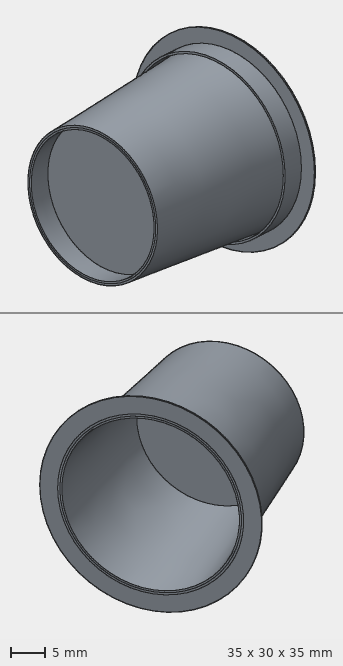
import cadquery as cq

total_length = 30.0
wall = 0.35

flange_radius = 17.5
flange_thickness = 0.28
collar_radius = 15.0
collar_length = 4.0
collar_bore_radius = collar_radius - wall

shell_back_radius = collar_bore_radius
shell_front_radius = 12.5

liner_wall = 0.3
floor_recess = 4.13
floor_thickness = liner_wall
liner_back_radius = shell_back_radius - wall
liner_front_radius = shell_front_radius - wall
bore_back_radius = liner_back_radius - liner_wall
bore_front_radius = liner_front_radius - liner_wall
taper_slope = (shell_back_radius - shell_front_radius) / total_length


def revolve_profile(points):
    """Revolve an outline of (radius, Y) points about the Y axis."""
    return cq.Workplane("XY").polyline(points).close().revolve(360, (0, 0), (0, 1))


def make_collar():
    return revolve_profile([
        (collar_bore_radius, 0),
        (flange_radius, 0),
        (flange_radius, -flange_thickness),
        (collar_radius, -flange_thickness),
        (collar_radius, -collar_length),
        (collar_bore_radius, -collar_length),
    ])


def make_shell():
    return revolve_profile([
        (liner_back_radius, 0),
        (shell_back_radius, 0),
        (shell_front_radius, -total_length),
        (liner_front_radius, -total_length),
    ])


def make_liner():
    """Tapered wall with a flat floor across its bore."""
    floor_front_y = floor_recess - total_length
    floor_back_y = floor_front_y + floor_thickness
    floor_front_radius = bore_front_radius + taper_slope * floor_recess
    floor_back_radius = floor_front_radius + taper_slope * floor_thickness
    return revolve_profile([
        (0, floor_back_y),
        (floor_back_radius, floor_back_y),
        (bore_back_radius, 0),
        (liner_back_radius, 0),
        (liner_front_radius, -total_length),
        (bore_front_radius, -total_length),
        (floor_front_radius, floor_front_y),
        (0, floor_front_y),
    ])


collar = make_collar()
shell = make_shell()
liner = make_liner()

result = cq.Compound.makeCompound([collar.val(), shell.val(), liner.val()])